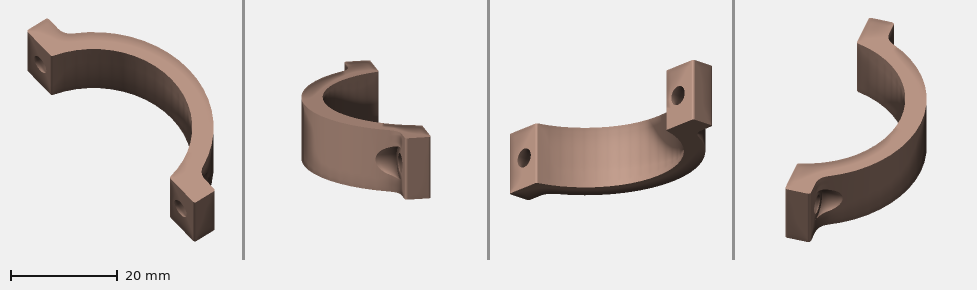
import cadquery as cq
import math

width = 12.0
overall_length = 51.5
bore_radius = 18.5
wall = 4.0
mating_y = 4.0
ear_thickness = 5.0
edge_fillet = 0.5
root_fillet = 3.0
hole_spacing = 43.0
hole_diameter = 3.7
head_clearance_diameter = 6.3

outer_radius = bore_radius + wall
ear_y = mating_y + ear_thickness
half_length = overall_length / 2
bore_half_width = math.sqrt(bore_radius**2 - mating_y**2)
root_half_width = math.sqrt(outer_radius**2 - ear_y**2)


def make_body():
    """Half-ring band with a flat ear on each side, centred on the XY plane."""
    profile = (
        cq.Workplane("XY")
        .workplane(offset=-width / 2)
        .moveTo(-half_length, mating_y)
        .lineTo(-bore_half_width, mating_y)
        .threePointArc((0, bore_radius), (bore_half_width, mating_y))
        .lineTo(half_length, mating_y)
        .lineTo(half_length, ear_y)
        .lineTo(root_half_width, ear_y)
        .threePointArc((0, outer_radius), (-root_half_width, ear_y))
        .lineTo(-half_length, ear_y)
        .close()
    )
    return profile.extrude(width)


def edges_at(x, y):
    """Select the pair of edges parallel to Z that pass through (+x, y) and (-x, y)."""
    reach = 0.05
    boxes = [
        cq.selectors.BoxSelector(
            (side * x - reach, y - reach, -width),
            (side * x + reach, y + reach, width),
        )
        for side in (-1, 1)
    ]
    return boxes[0] + boxes[1]


def round_edges(body):
    """Blend the ear roots, then round the ear corners and the bore edges."""
    body = body.edges("|Z").edges(edges_at(root_half_width, ear_y)).fillet(root_fillet)
    corners = (
        edges_at(half_length, mating_y)
        + edges_at(half_length, ear_y)
        + edges_at(bore_half_width, mating_y)
    )
    return body.edges("|Z").edges(corners).fillet(edge_fillet)


def cylinder_along_y(x, diameter, start_y, end_y):
    """Cylinder parallel to Y at the given x, spanning start_y to end_y."""
    return cq.Workplane(
        cq.Solid.makeCylinder(
            diameter / 2,
            end_y - start_y,
            cq.Vector(x, start_y, 0),
            cq.Vector(0, 1, 0),
        )
    )


def cut_bolt_holes(body):
    """Through hole in each ear, with room for the bolt head cut into the band above it."""
    for side in (-1, 1):
        x = side * hole_spacing / 2
        body = body.cut(cylinder_along_y(x, hole_diameter, mating_y, outer_radius))
        body = body.cut(cylinder_along_y(x, head_clearance_diameter, ear_y, outer_radius))
    return body


result = cut_bolt_holes(round_edges(make_body()))